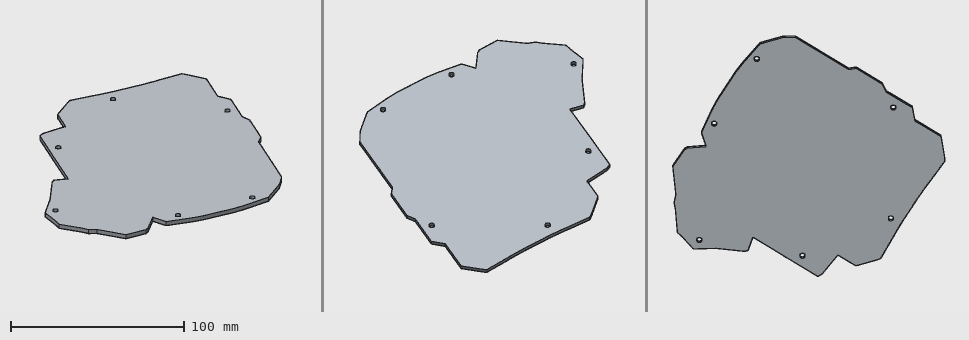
import cadquery as cq

WIDTH = 131.0
HEIGHT = 142.3
THICKNESS = 3.0
HOLE_DIAMETER = 3.0

SHOULDER_Y = HEIGHT - 2.8
LEFT_AXIS_Y = 87.4
RIGHT_AXIS_Y = 93.5
BOTTOM_EDGE_Y = 24.3

LEFT_TIP = 34.6
LEFT_HOLLOW = [(0.7, 20.9), (1.0, 17.1), (1.3, 9.1)]

TIP_FACET = (0.7, 1.1)
OUTER_FACET = (2.5, 3.0)
INNER_FACET = (6.5, 7.4)

RIGHT_TIP_X = 127.9
RIGHT_TIP = 31.7
RIGHT_BOW = [(130.0, 16.6), (130.6, 10.0)]

LOBE_TIP_X = 94.5

HOLE_CENTERS = [
    (42.4, 133.6),
    (8.0, 76.3),
    (124.6, RIGHT_AXIS_Y + 23.0),
    (124.6, RIGHT_AXIS_Y - 23.0),
    (39.1, 30.0),
    (LOBE_TIP_X, 6.4),
]


def follow_facets(start, facets, x_direction):
    """Corner points reached by stepping upwards from start along each facet."""
    points = [start]
    for run_x, run_y in facets:
        x, y = points[-1]
        points.append((x + x_direction * run_x, y + run_y))
    return points


def mirrored(points, axis_y):
    """The points reflected about a level, in reverse order."""
    return [(x, 2 * axis_y - y) for x, y in reversed(points)]


def left_side():
    """Lower left corner to upper left corner, going up."""
    corner_start = (0, LEFT_AXIS_Y + LEFT_TIP)
    corner = follow_facets(corner_start, [TIP_FACET, OUTER_FACET, INNER_FACET], 1)
    hollow = [(x, LEFT_AXIS_Y + distance) for x, distance in reversed(LEFT_HOLLOW)]
    upper = hollow + corner
    return mirrored(upper, LEFT_AXIS_Y) + upper


def top_side():
    """Steps of the upper edge, going right."""
    step_y = left_side()[-1][1]
    return [
        (27.6, step_y),
        (33.1, SHOULDER_Y),
        (51.0, SHOULDER_Y),
        (55.5, HEIGHT),
        (73.1, HEIGHT),
        (76.4, SHOULDER_Y),
        (112.8, SHOULDER_Y),
    ]


def right_side():
    """Faceted upper right corner and the bow below it, going down."""
    corner_start = (RIGHT_TIP_X, RIGHT_AXIS_Y + RIGHT_TIP)
    corner = follow_facets(corner_start, [OUTER_FACET, INNER_FACET], -1)
    bow = [(x, RIGHT_AXIS_Y + distance) for x, distance in RIGHT_BOW]
    upper_bow = [corner_start] + bow
    return corner[:0:-1] + upper_bow + mirrored(upper_bow, RIGHT_AXIS_Y)


def lobe():
    """Notch in the right side and the lobe below it, going clockwise."""
    return [
        (121.2, 56.2),
        (129.8, 49.8),
        (130.7, 48.1),
        (WIDTH, 35.7),
        (120.2, 21.9),
        (118.7, 17.5),
        (116.2, 15.0),
        (107.7, 3.5),
        (103.6, 2.7),
        (LOBE_TIP_X, 0),
        (83.7, 7.3),
        (68.7, 14.5),
        (67.3, 16.1),
    ]


def bottom_side():
    """Lower edge, going left, and the slanted edge up to the lower left corner."""
    bend_drop = 0.1
    left_level = BOTTOM_EDGE_Y - bend_drop
    step_y = left_side()[0][1]
    return [
        (69.1, BOTTOM_EDGE_Y),
        (46.8, left_level),
        (24.9, left_level),
        (23.6, 26.7),
        (22.0, step_y),
    ]


outline = left_side() + top_side() + right_side() + lobe() + bottom_side()
plate = cq.Workplane("XY").polyline(outline).close().extrude(THICKNESS)
holes = cq.Workplane("XY").pushPoints(HOLE_CENTERS).circle(HOLE_DIAMETER / 2).extrude(THICKNESS)

result = plate.cut(holes)